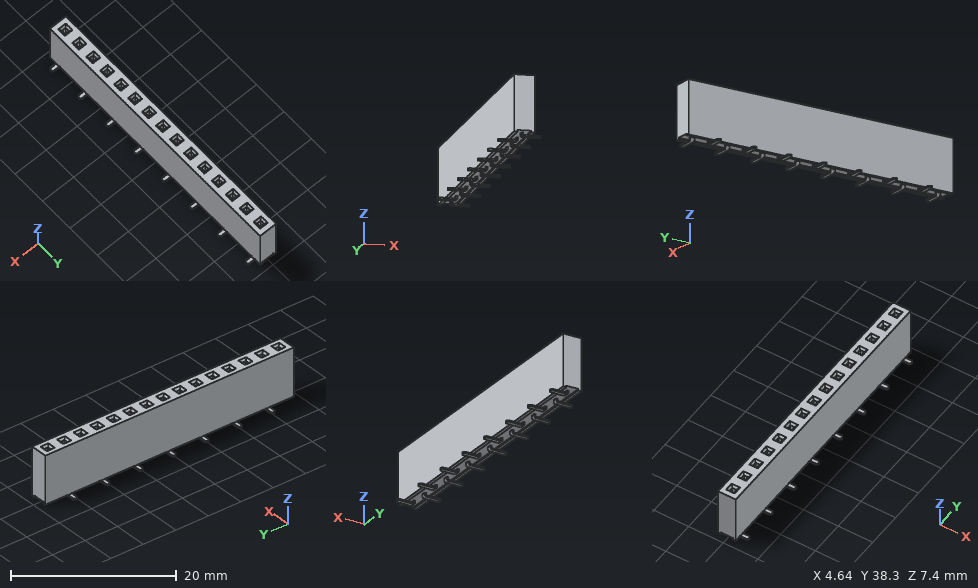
import cadquery as cq

contact_count = 15
pitch = 2.54

body_width = 2.6
body_length = 38.3
overall_height = 7.4
body_bottom = 0.3
channel_width = 1.7
channel_top = 0.5

lead_in_size = 1.2
socket_size = 0.6
lead_in_depth = 0.3
socket_depth = 4.0

overall_width = 4.64
strip_thickness = 0.2
strip_width = 0.6
bend_inner_radius = 0.1
tip_radius = 0.29
contact_proud = 0.3

socket_floor = overall_height - socket_depth
contact_top = socket_floor + contact_proud
foot_reach = overall_width / 2


def contact_y(index):
    """Y of a contact, counted from the -Y end of the row."""
    return (index - (contact_count - 1) / 2) * pitch


def make_body():
    """Rectangular housing with a channel along its underside."""
    body = cq.Workplane("XY", origin=(0, 0, body_bottom)).box(
        body_width, body_length, overall_height - body_bottom, centered=(True, True, False)
    )
    channel = cq.Workplane("XY", origin=(0, 0, body_bottom)).box(
        channel_width, body_length, channel_top - body_bottom, centered=(True, True, False)
    )
    return body.cut(channel)


def make_socket():
    """Cutter for one socket: pyramid lead-in above a square blind hole."""
    lead_in = (
        cq.Workplane("XY", origin=(0, 0, overall_height))
        .rect(lead_in_size, lead_in_size)
        .workplane(offset=-lead_in_depth)
        .rect(socket_size, socket_size)
        .loft(ruled=True)
    )
    hole = cq.Workplane("XY", origin=(0, 0, socket_floor)).box(
        socket_size, socket_size, socket_depth - lead_in_depth, centered=(True, True, False)
    )
    return lead_in.union(hole)


def make_contact():
    """Contact with a vertical stem on the axis and a foot bent toward +X."""
    half_thickness = strip_thickness / 2
    outer_radius = bend_inner_radius + strip_thickness
    contact = (
        cq.Workplane("XZ")
        .moveTo(-half_thickness, contact_top)
        .lineTo(-half_thickness, outer_radius)
        .radiusArc((outer_radius - half_thickness, 0), -outer_radius)
        .lineTo(foot_reach, 0)
        .lineTo(foot_reach, strip_thickness)
        .lineTo(half_thickness + bend_inner_radius, strip_thickness)
        .radiusArc((half_thickness, outer_radius), bend_inner_radius)
        .lineTo(half_thickness, contact_top)
        .close()
        .extrude(strip_width / 2, both=True)
    )
    return contact.edges("|Z and >X").fillet(tip_radius)


result = make_body()
socket = make_socket()
contact_right = make_contact()
contact_left = contact_right.rotate((0, 0, 0), (0, 0, 1), 180)

for index in range(contact_count):
    position = (0, contact_y(index), 0)
    contact = contact_right if index % 2 == 0 else contact_left
    result = result.cut(socket.translate(position))
    result = result.union(contact.translate(position))